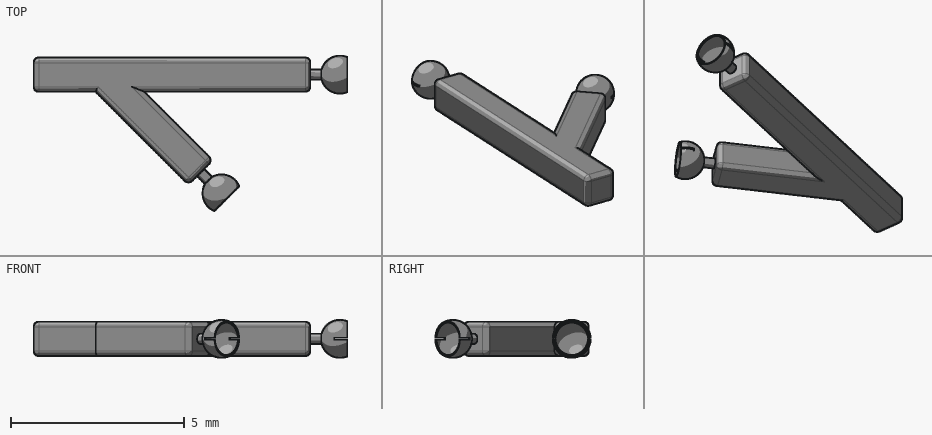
import cadquery as cq
import math

arm_width = 1.0
main_length = 8.0
branch_length = main_length / 2
branch_start = main_length / 4
branch_angle = -45.0
edge_radius = 0.15

overall_length = 9.07
neck_diameter = 0.3
ball_radius = 0.55
cup_radius = 0.51
ball_to_rim = 0.22
rim_angle = math.acos(ball_to_rim / ball_radius)
rim_offset = overall_length - main_length
ball_offset = rim_offset - ball_to_rim

slot_width = 0.05
slot_depth = 0.38


def bar(length):
    """Square bar along +X from the origin, rounded on every edge."""
    block = cq.Workplane("XY").box(length, arm_width, arm_width, centered=(False, True, True))
    return block.edges().fillet(edge_radius)


def neck(length):
    """Pin from inside the end of the bar to the ball centre."""
    start = length - edge_radius
    end = length + ball_offset
    return cq.Workplane("YZ", origin=(start, 0, 0)).circle(neck_diameter / 2).extrude(end - start)


def sphere_sector(radius, center_x):
    """Sphere on the X axis with a cone, its tip at the centre, taken out of the +X side."""
    rim_point = (center_x + radius * math.cos(rim_angle), radius * math.sin(rim_angle))
    profile = (
        cq.Workplane("XZ")
        .moveTo(center_x, 0)
        .lineTo(center_x - radius, 0)
        .threePointArc((center_x, radius), rim_point)
        .close()
    )
    return profile.revolve(360, (0, 0, 0), (1, 0, 0))


def slot(length):
    """Thin block that cuts through the cup wall on both sides, open at the rim."""
    rim_x = length + rim_offset
    block = cq.Workplane("XY").box(slot_depth, arm_width * 2, slot_width, centered=(False, True, True))
    return block.translate((rim_x - slot_depth, 0, 0))


def arm(length):
    """Bar with its neck and slotted hollow ball, along +X from the origin."""
    ball_x = length + ball_offset
    ball = sphere_sector(ball_radius, ball_x)
    hollow = sphere_sector(cup_radius, ball_x)
    cup = ball.union(neck(length)).cut(hollow).cut(slot(length))
    return bar(length).union(cup)


main_arm = arm(main_length)
branch_arm = (
    arm(branch_length)
    .rotate((0, 0, 0), (0, 0, 1), branch_angle)
    .translate((branch_start, 0, 0))
)

result = main_arm.union(branch_arm)